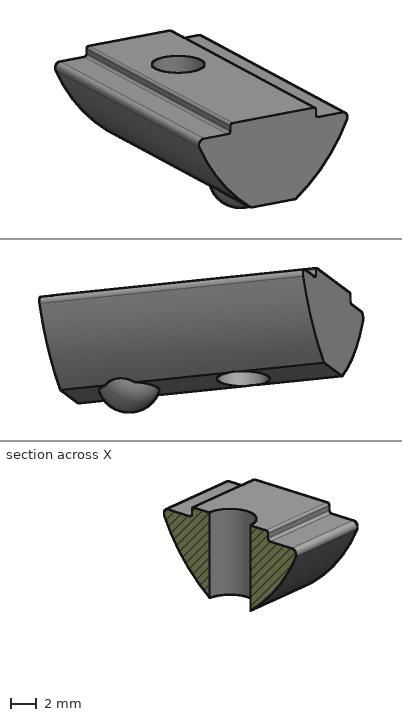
import cadquery as cq
import math

length = 22.0
width = 13.5
body_height = 7.25

rail_width = 7.79
rail_height = 0.84
rail_fillet = 0.22

nose_radius = 0.46
flank_radius = 14.52
bottom_width = 4.05

hole_diameter = 4.14
hole_x = -3.52
ball_radius = 2.5
ball_drop = 1.7
ball_x = 6.0

shoulder_z = body_height - rail_height
nose_y = width / 2 - nose_radius
nose_z = shoulder_z - nose_radius
bottom_y = bottom_width / 2


def flank_center():
    """Center of the flank circle through the bottom corner and tangent to the nose."""
    nose_distance = flank_radius - nose_radius
    dy = nose_y - bottom_y
    dz = nose_z
    gap = math.hypot(dy, dz)
    along = (flank_radius**2 - nose_distance**2 + gap**2) / (2 * gap)
    across = math.sqrt(flank_radius**2 - along**2)
    center_y = bottom_y + (along * dy - across * dz) / gap
    center_z = (along * dz + across * dy) / gap
    return center_y, center_z


def circle_point(center, radius, angle):
    return center[0] + radius * math.cos(angle), center[1] + radius * math.sin(angle)


def make_half_body():
    """Extruded +Y half of the section, ending on the XZ symmetry plane."""
    nose = (nose_y, nose_z)
    flank = flank_center()
    tangent_angle = math.atan2(nose_z - flank[1], nose_y - flank[0])
    bottom_angle = math.atan2(-flank[1], bottom_y - flank[0])
    nose_mid = circle_point(nose, nose_radius, (math.pi / 2 + tangent_angle) / 2)
    nose_end = circle_point(nose, nose_radius, tangent_angle)
    flank_mid = circle_point(flank, flank_radius, (tangent_angle + bottom_angle) / 2)
    return (
        cq.Workplane("YZ", origin=(-length / 2, 0, 0))
        .moveTo(0, 0)
        .lineTo(0, body_height)
        .lineTo(rail_width / 2, body_height)
        .lineTo(rail_width / 2, shoulder_z)
        .lineTo(nose_y, shoulder_z)
        .threePointArc(nose_mid, nose_end)
        .threePointArc(flank_mid, (bottom_y, 0))
        .close()
        .extrude(length)
    )


def make_body():
    half = make_half_body()
    body = half.union(half.mirror("XZ")).clean()
    for side in (-1, 1):
        for z in (body_height, shoulder_z):
            edge = cq.selectors.NearestToPointSelector((0, side * rail_width / 2, z))
            body = body.edges("|X").edges(edge).fillet(rail_fillet)
    return body


def make_ball():
    return cq.Workplane("XY").sphere(ball_radius).translate((ball_x, 0, ball_radius - ball_drop))


def make_hole():
    return cq.Workplane("XY").center(hole_x, 0).circle(hole_diameter / 2).extrude(body_height)


result = make_body().union(make_ball()).cut(make_hole())